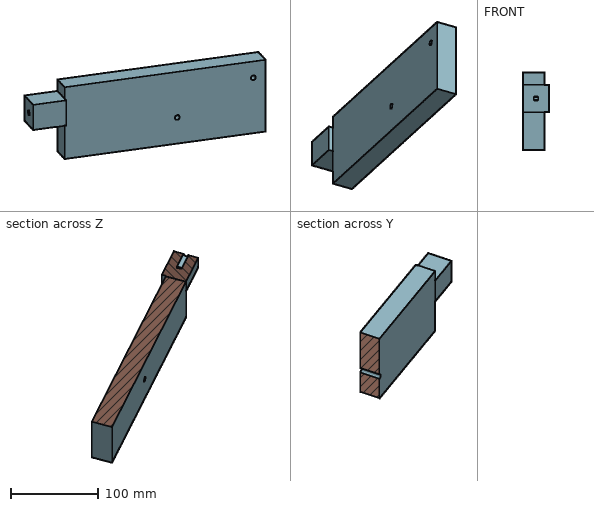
import cadquery as cq

plate_thickness = 25.0
plate_height = 89.0
overall_length = 284.3

block_width = 30.0
block_height = 31.3
block_length = 40.0
block_top_drop = 14.2

plate_length = overall_length - block_length
block_bottom = plate_height - block_top_drop - block_height

plate_hole_diameter = 5.7
plate_hole_places = [(15.0, 20.2), (107.5, 56.5)]

bore_diameter = 5.7
bore_depth = block_length / 2
slot_height = 3.0
slot_depth = slot_height


def make_plate():
    plate = cq.Workplane("XY").box(plate_thickness, plate_length, plate_height, centered=False)
    plate = plate.translate((0, block_length, 0))
    for from_rear, from_top in plate_hole_places:
        hole = (
            cq.Workplane("YZ")
            .center(overall_length - from_rear, plate_height - from_top)
            .circle(plate_hole_diameter / 2)
            .extrude(plate_thickness)
        )
        plate = plate.cut(hole)
    return plate


def make_bore():
    bore = cq.Workplane("XZ").circle(bore_diameter / 2).extrude(-bore_depth)
    slot_band = (
        cq.Workplane("XZ", origin=(0, bore_depth, 0))
        .rect(bore_diameter, slot_height)
        .extrude(-slot_depth)
    )
    slot_limit = cq.Workplane("XZ").circle(bore_diameter / 2).extrude(-bore_depth - slot_depth)
    return bore.union(slot_band.intersect(slot_limit))


def make_block():
    block = cq.Workplane("XY").box(block_width, block_length, block_height, centered=False)
    bore = make_bore().translate((block_width / 2, 0, block_height / 2))
    return block.cut(bore).translate((0, 0, block_bottom))


plate = make_plate()
block = make_block()
result = cq.Compound.makeCompound([plate.val(), block.val()])